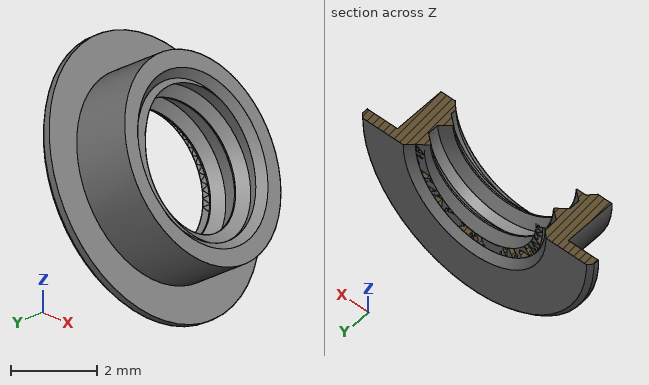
import cadquery as cq
import math

flange_diameter = 7.14
flange_thickness = 0.30
flange_chamfer_width = 0.12
flange_chamfer_depth = 0.125
barrel_diameter = 5.28
total_length = 1.83

minor_diameter = 3.45
major_diameter = 4.0
pitch = 0.794
flank_half_angle = 39.0
root_flat = 0.31
root_angle = 5.0
mouth_diameter = 4.4
countersink_depth = 0.2

minor_radius = minor_diameter / 2
major_radius = major_diameter / 2
cutter_overlap = 0.015


def make_body():
    """Revolve the flanged bushing with its bore and both countersinks, axis along Z."""
    outline = [
        (minor_radius, countersink_depth),
        (major_radius, countersink_depth),
        (mouth_diameter / 2, 0),
        (barrel_diameter / 2, 0),
        (barrel_diameter / 2, total_length - flange_thickness),
        (flange_diameter / 2, total_length - flange_thickness),
        (flange_diameter / 2, total_length - flange_chamfer_depth),
        (flange_diameter / 2 - flange_chamfer_width, total_length),
        (mouth_diameter / 2, total_length),
        (major_radius, total_length - countersink_depth),
        (minor_radius, total_length - countersink_depth),
    ]
    return cq.Workplane("XZ").polyline(outline).close().revolve(360, (0, 0, 0), (0, 1, 0))


def make_thread_cutter():
    """Sweep the groove section along a left-hand helix, axis along Z."""
    start = countersink_depth - 2 * pitch
    turns = math.ceil((total_length - start) / pitch) + 1
    inner_radius = minor_radius - cutter_overlap
    half_root = root_flat / 2
    half_mouth = half_root + (major_radius - inner_radius) * math.tan(math.radians(flank_half_angle))
    helix = cq.Wire.makeHelix(pitch, turns * pitch, minor_radius, lefthand=True)
    section = [
        (inner_radius, -half_mouth),
        (major_radius, -half_root),
        (major_radius, half_root),
        (inner_radius, half_mouth),
    ]
    cutter = cq.Workplane("XZ").polyline(section).close().sweep(cq.Workplane(helix), isFrenet=True)
    return cutter.translate((0, 0, start)).rotate((0, 0, 0), (0, 0, 1), root_angle)


def make_part():
    """Cut the thread groove between the two countersink floors and lay the axis along Y."""
    limit = (
        cq.Workplane("XY")
        .workplane(offset=countersink_depth)
        .circle(barrel_diameter / 2)
        .extrude(total_length - 2 * countersink_depth)
    )
    groove = make_thread_cutter().intersect(limit)
    return make_body().cut(groove).rotate((0, 0, 0), (1, 0, 0), -90)


result = make_part()